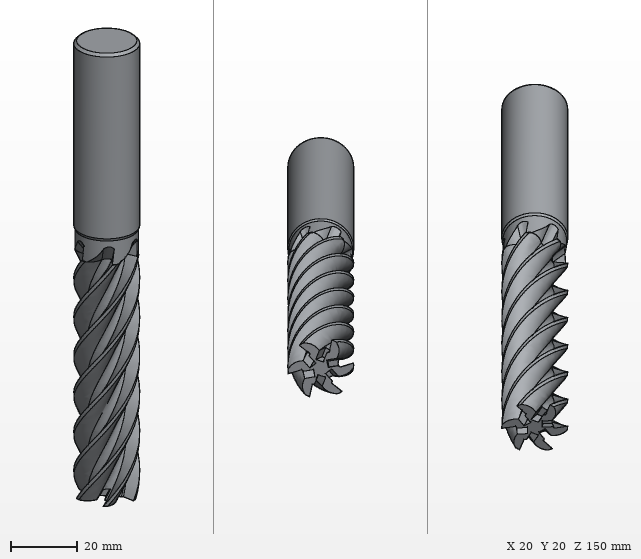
import cadquery as cq
import math

LENGTH = 150.0
CUTTER_LENGTH = 80.0
SHANK_RADIUS = 9.98

NECK_RADIUS = 9.6
NECK_TOP = 87.9
NECK_TAPER = 0.9
TOP_CHAMFER = 0.9

FLUTES = 6
LEAD = 76.5
FLUTE_STEP = 360.0 / FLUTES
TWIST = 360.0 * CUTTER_LENGTH / LEAD

LAND_BACK_RADIUS = 9.9
LAND_ANGLE = 8.0
BACK_RADIUS = 8.5
BACK_ANGLE = 20.0
ROOT_RADIUS = 5.8
ROOT_START_ANGLE = 36.0
FLOOR_RADIUS = 5.2
FLOOR_ANGLE = 50.0
ROOT_END_ANGLE = 66.0

RUNOUT_LENGTH = 7.2
RUNOUT_CLEARANCE = 0.9
RUNOUT_RISE = NECK_RADIUS - FLOOR_RADIUS + RUNOUT_CLEARANCE
RUNOUT_OUTER_RADIUS = 12.0
RUNOUT_TOP_WIDTH_RATIO = 0.6

GASH_HEIGHT = 3.6
GASH_BASE_WIDTH = 2.4
GASH_TOP_WIDTH = 2.1
GASH_LEAN = GASH_HEIGHT * 2 * math.pi * ROOT_RADIUS / LEAD
GASH_INNER_RADIUS = 2.2


def polar(radius, angle):
    """Point at a radius and an angle in degrees."""
    a = math.radians(angle)
    return (radius * math.cos(a), radius * math.sin(a))


def add_flute_outline(path, edge_angle, width_ratio=1.0, rise=0.0):
    """Continue a path from the back of one land, along a flute, to the next cutting edge.

    The width ratio narrows the flute towards the next cutting edge; the rise moves it outward.
    """
    next_edge = edge_angle + FLUTE_STEP

    def at(radius, angle):
        return polar(radius + rise, next_edge - (FLUTE_STEP - angle) * width_ratio)

    return (
        path.threePointArc(at(BACK_RADIUS, BACK_ANGLE), at(ROOT_RADIUS, ROOT_START_ANGLE))
        .threePointArc(at(FLOOR_RADIUS, FLOOR_ANGLE), at(ROOT_RADIUS, ROOT_END_ANGLE))
        .lineTo(*at(SHANK_RADIUS, FLUTE_STEP))
    )


def make_gash(edge_angle):
    """Slanted notch in front of one cutting edge, open at the end face and outward."""
    profile = [
        (0, 0),
        (GASH_LEAN, GASH_HEIGHT),
        (GASH_LEAN - GASH_TOP_WIDTH, GASH_HEIGHT),
        (-GASH_BASE_WIDTH, 0),
    ]
    return (
        cq.Workplane("YZ", origin=(GASH_INNER_RADIUS, 0, 0))
        .polyline(profile)
        .close()
        .extrude(SHANK_RADIUS)
        .rotate((0, 0, 0), (0, 0, 1), edge_angle)
    )


def make_cutter():
    """Fluted cutting length, with a gash at the end of each flute."""
    section = cq.Workplane("XY").moveTo(SHANK_RADIUS, 0)
    for flute in range(FLUTES):
        edge_angle = flute * FLUTE_STEP
        section = section.lineTo(*polar(LAND_BACK_RADIUS, edge_angle + LAND_ANGLE))
        section = add_flute_outline(section, edge_angle)
    cutter = section.close().twistExtrude(CUTTER_LENGTH, TWIST)
    for flute in range(FLUTES):
        cutter = cutter.cut(make_gash(flute * FLUTE_STEP))
    return cutter


def runout_section(z, width_ratio, rise):
    """Closed section of the run-out groove at one height."""
    start_angle = FLUTE_STEP - (FLUTE_STEP - LAND_ANGLE) * width_ratio
    path = (
        cq.Workplane("XY", origin=(0, 0, z))
        .moveTo(*polar(RUNOUT_OUTER_RADIUS + rise, start_angle))
        .lineTo(*polar(LAND_BACK_RADIUS + rise, start_angle))
    )
    path = add_flute_outline(path, 0, width_ratio, rise)
    return path.lineTo(*polar(RUNOUT_OUTER_RADIUS + rise, FLUTE_STEP)).close().val()


def make_runout(edge_angle):
    """Groove that carries one flute on into the neck and out through its surface."""
    bottom = runout_section(CUTTER_LENGTH, 1.0, 0.0)
    top = runout_section(CUTTER_LENGTH + RUNOUT_LENGTH, RUNOUT_TOP_WIDTH_RATIO, RUNOUT_RISE)
    groove = cq.Workplane(cq.Solid.makeLoft([bottom, top], True))
    return groove.rotate((0, 0, 0), (0, 0, 1), edge_angle)


def make_shank():
    """Round shank with a slightly thinner neck, where the flutes run out."""
    shank = (
        cq.Workplane("YZ")
        .moveTo(0, CUTTER_LENGTH)
        .lineTo(-NECK_RADIUS, CUTTER_LENGTH)
        .lineTo(-NECK_RADIUS, NECK_TOP)
        .lineTo(-SHANK_RADIUS, NECK_TOP + NECK_TAPER)
        .lineTo(-SHANK_RADIUS, LENGTH - TOP_CHAMFER)
        .lineTo(-(SHANK_RADIUS - TOP_CHAMFER), LENGTH)
        .lineTo(0, LENGTH)
        .close()
        .revolve(360, (0, 0), (0, 1))
    )
    for flute in range(FLUTES):
        shank = shank.cut(make_runout(TWIST + flute * FLUTE_STEP))
    return shank


cutter = make_cutter()
shank = make_shank()

result = cq.Compound.makeCompound([cutter.solids().val(), shank.solids().val()])